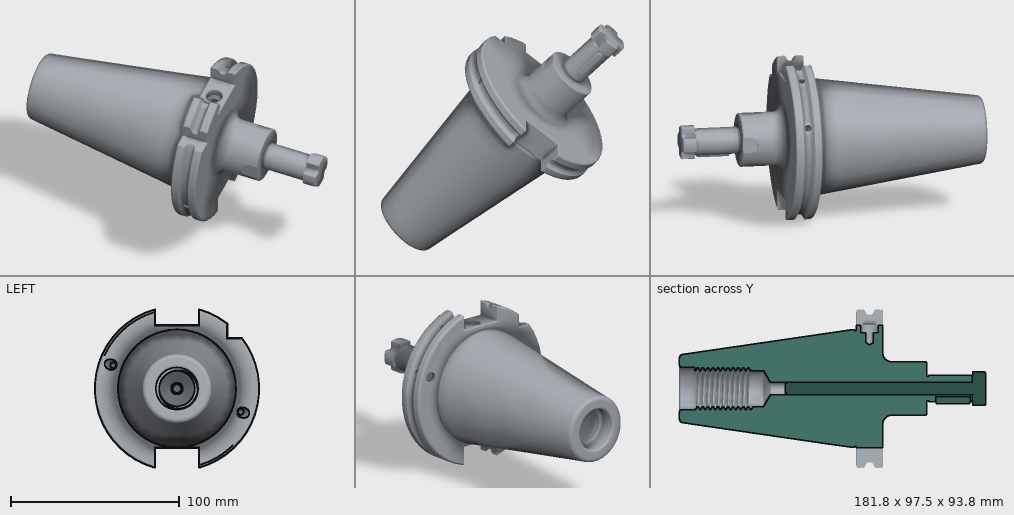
import cadquery as cq
import math


gauge_radius = 69.85 / 2
taper_slope = 7 / 24 / 2
taper_length = 101.75
taper_end_x = 1.0
taper_small_radius = gauge_radius - taper_slope * taper_length
taper_tip_fillet = 2.5
relief_start_x = 2.0
relief_floor_x = 2.6
relief_depth = 0.4

flange_radius = 97.5 / 2
flange_start_x = 3.2
flange_end_x = 19.1
flange_front_fillet = 1.5
flange_back_fillet = 1.0
groove_x = 11.1
groove_depth = 3.0
groove_radius = flange_radius - groove_depth
groove_half_width = 3.3
groove_flank_angle = math.radians(30)
groove_floor_half_width = groove_half_width - groove_depth * math.tan(groove_flank_angle)
groove_fillet = 1.25

slot_half_width = 25.7 / 2
top_slot_floor = 37.7
bottom_slot_floor = 35.3
edge_chamfer = 0.45
notch_offset = 30.0
notch_size = 20.0
notch_centre = notch_offset + notch_size / 2

chip_radius = 5.0
chip_depth = 4.5
chip_rim_chamfer = 0.3
chip_drill_radius = 2.0
chip_drill_depth = 6.0
drill_tip_half_angle = math.radians(59)

coolant_pitch_radius = 41.8
coolant_radius = 3.1
coolant_tilt = math.radians(30)
coolant_length = 9.0
coolant_angles = (20, 200)
cross_hole_radius = 1.9
cross_hole_depth = 7.0
cross_hole_angles = (20, 60, 200)

nose_radius = 16.0
nose_end_x = 45.0
nose_chamfer = 0.5
neck_fillet = 5.0
flat_width = 9.3
flat_depth = 0.7
flat_length = 9.3

seat_radius = 8.0
seat_end_x = 72.0
seat_undercut_radius = 7.5
seat_undercut_end_x = 45.9
seat_start_chamfer = 0.5
seat_end_chamfer = 1.0
seat_end_drop = 0.3

stud_bore_radius = 12.5
stud_bore_depth = 9.0
stud_bore_fillet = 1.5
thread_pitch = 3.0
thread_flank_angle = math.radians(30)
thread_root_width = thread_pitch / 8
thread_root_radius = 12.3
thread_crest_radius = 10.5
thread_start_depth = 6.5
thread_length = 36.0
cone_start_depth = 50.0
cone_half_angle = math.radians(60)

shank_radius = 3.5
shank_start_x = -38.0
tip_radius = 3.0
tip_length = 1.0
tip_chamfer = 0.5
head_radius = 10.0
head_end_x = 80.0
head_fillet = 1.0
lobe_half_width = 4.1
lobe_corner_fillet = 1.6

key_width = 4.0
key_start_x = 50.5
key_length = 20.0
key_outer_radius = 9.1
key_height = 4.0
key_chamfer = 0.4


def revolve_about_x(profile):
    """Turn a closed half profile, drawn in the XZ plane, about the X axis."""
    return profile.close().revolve(360, (0, 0, 0), (1, 0, 0))


def cylinder_x(radius, start_x, end_x):
    return cq.Workplane("YZ", origin=(start_x, 0, 0)).circle(radius).extrude(end_x - start_x)


def make_taper():
    taper = revolve_about_x(
        cq.Workplane("XZ")
        .moveTo(-taper_length, 0)
        .lineTo(-taper_length, taper_small_radius)
        .lineTo(taper_end_x, gauge_radius + taper_slope * taper_end_x)
        .lineTo(relief_start_x, gauge_radius)
        .lineTo(relief_floor_x, gauge_radius - relief_depth)
        .lineTo(flange_start_x, gauge_radius - relief_depth)
        .lineTo(flange_start_x, 0)
    )
    return taper.faces("<X").edges().fillet(taper_tip_fillet)


def make_flange():
    flange = cylinder_x(flange_radius, flange_start_x, flange_end_x)
    flange = flange.faces("<X").edges().fillet(flange_front_fillet)
    flange = flange.faces(">X").edges().fillet(flange_back_fillet)
    overshoot = 1.0
    rim_half_width = groove_half_width + overshoot * math.tan(groove_flank_angle)
    groove = revolve_about_x(
        cq.Workplane("XZ")
        .moveTo(groove_x - groove_floor_half_width, groove_radius)
        .lineTo(groove_x + groove_floor_half_width, groove_radius)
        .lineTo(groove_x + rim_half_width, flange_radius + overshoot)
        .lineTo(groove_x - rim_half_width, flange_radius + overshoot)
    )
    groove = groove.edges(cq.selectors.RadiusNthSelector(0)).fillet(groove_fillet)
    return flange.cut(groove)


def make_nose():
    arc_inset = neck_fillet * (1 - math.sqrt(0.5))
    nose = revolve_about_x(
        cq.Workplane("XZ")
        .moveTo(flange_end_x, 0)
        .lineTo(flange_end_x, nose_radius + neck_fillet)
        .threePointArc(
            (flange_end_x + arc_inset, nose_radius + arc_inset),
            (flange_end_x + neck_fillet, nose_radius),
        )
        .lineTo(nose_end_x, nose_radius)
        .lineTo(nose_end_x, 0)
    )
    return nose.faces(">X").edges().chamfer(nose_chamfer)


def make_seat():
    return revolve_about_x(
        cq.Workplane("XZ")
        .moveTo(nose_end_x, 0)
        .lineTo(nose_end_x, seat_undercut_radius)
        .lineTo(seat_undercut_end_x, seat_undercut_radius)
        .lineTo(seat_undercut_end_x + seat_start_chamfer, seat_radius)
        .lineTo(seat_end_x - seat_end_chamfer, seat_radius)
        .lineTo(seat_end_x, seat_radius - seat_end_drop)
        .lineTo(seat_end_x, 0)
    )


def make_stud_bore():
    """Cutter for the pull stud bore, the thread core and the cone down to the screw hole."""
    mouth_x = -taper_length
    shoulder_x = mouth_x + stud_bore_depth
    cone_start_x = mouth_x + cone_start_depth
    cone_length = (thread_crest_radius - shank_radius) / math.tan(cone_half_angle)
    arc_inset = stud_bore_fillet * (1 - math.sqrt(0.5))
    return revolve_about_x(
        cq.Workplane("XZ")
        .moveTo(mouth_x, 0)
        .lineTo(mouth_x, stud_bore_radius + stud_bore_fillet)
        .threePointArc(
            (mouth_x + arc_inset, stud_bore_radius + arc_inset),
            (mouth_x + stud_bore_fillet, stud_bore_radius),
        )
        .lineTo(shoulder_x, stud_bore_radius)
        .lineTo(shoulder_x, thread_crest_radius)
        .lineTo(cone_start_x, thread_crest_radius)
        .lineTo(cone_start_x + cone_length, shank_radius)
        .lineTo(seat_end_x, shank_radius)
        .lineTo(seat_end_x, 0)
    )


def make_chamfered_mouth(face_x, inward, centre_y, centre_z, width, height):
    """Cutter for the edge chamfer where a rectangular opening meets a flange face."""
    return (
        cq.Workplane("YZ", origin=(face_x, centre_y, centre_z))
        .rect(width + 2 * edge_chamfer, height + 2 * edge_chamfer)
        .workplane(offset=inward * edge_chamfer)
        .rect(width, height)
        .loft(combine=True)
    )


def make_thread_groove():
    """Cutter for the helical 60 degree groove of the pull stud thread."""
    overlap = 0.3
    inner_radius = thread_crest_radius - overlap
    root_half_width = thread_root_width / 2
    mouth_half_width = root_half_width + (thread_root_radius - inner_radius) * math.tan(thread_flank_angle)
    helix = cq.Workplane(cq.Wire.makeHelix(thread_pitch, thread_length, thread_crest_radius))
    groove = (
        cq.Workplane("XZ")
        .moveTo(inner_radius, -mouth_half_width)
        .lineTo(thread_root_radius, -root_half_width)
        .lineTo(thread_root_radius, root_half_width)
        .lineTo(inner_radius, mouth_half_width)
        .close()
        .sweep(helix, isFrenet=True)
    )
    start_x = -taper_length + thread_start_depth
    return groove.rotate((0, 0, 0), (0, 1, 0), 90).translate((start_x, 0, 0))


def flare_start(offset):
    """Distance out at which the rim chamfer begins on an edge this far from the centre plane."""
    return math.sqrt(flange_radius**2 - offset**2) - edge_chamfer


def make_drive_slot(floor):
    """Cutter for a drive slot open towards +Z, flared by the edge chamfers."""
    wall_top = flare_start(slot_half_width + edge_chamfer)
    flare = flange_radius - wall_top
    height = flange_radius - floor
    slot = (
        cq.Workplane("YZ", origin=(flange_start_x, 0, 0))
        .moveTo(-slot_half_width, floor)
        .lineTo(slot_half_width, floor)
        .lineTo(slot_half_width, wall_top)
        .lineTo(slot_half_width + flare, flange_radius)
        .lineTo(-slot_half_width - flare, flange_radius)
        .lineTo(-slot_half_width, wall_top)
        .close()
        .extrude(flange_end_x - flange_start_x)
    )
    for face_x, inward in ((flange_start_x, 1), (flange_end_x, -1)):
        mouth = make_chamfered_mouth(face_x, inward, 0, floor + height / 2, 2 * slot_half_width, height)
        slot = slot.union(mouth)
    return slot


def make_notch():
    """Cutter for the square orientation notch in the -Y, +Z quarter of the flange."""
    wall_end = flare_start(notch_offset - edge_chamfer)
    flare = flange_radius - wall_end
    notch = (
        cq.Workplane("YZ", origin=(flange_start_x, 0, 0))
        .moveTo(-notch_offset, notch_offset)
        .lineTo(-notch_offset, wall_end)
        .lineTo(-notch_offset + flare, flange_radius)
        .lineTo(-flange_radius, flange_radius)
        .lineTo(-flange_radius, notch_offset - flare)
        .lineTo(-wall_end, notch_offset)
        .close()
        .extrude(flange_end_x - flange_start_x)
    )
    for face_x, inward in ((flange_start_x, 1), (flange_end_x, -1)):
        mouth = make_chamfered_mouth(face_x, inward, -notch_centre, notch_centre, notch_size, notch_size)
        notch = notch.union(mouth)
    return notch


def make_chip_pocket():
    """Cutter for the chip pocket, its rim chamfer and the pointed drill hole in its floor."""
    floor_plane = cq.Workplane("XY", origin=(groove_x, 0, top_slot_floor))
    pocket = floor_plane.circle(chip_radius).extrude(-chip_depth)
    drill_tip_length = chip_drill_radius / math.tan(drill_tip_half_angle)
    drill_end = -chip_depth - chip_drill_depth
    drill = (
        cq.Workplane("XZ")
        .moveTo(0, 0)
        .lineTo(chip_drill_radius, 0)
        .lineTo(chip_drill_radius, drill_end)
        .lineTo(0, drill_end - drill_tip_length)
        .close()
        .revolve(360, (0, 0, 0), (0, 1, 0))
        .translate((groove_x, 0, top_slot_floor))
    )
    rim_cut = cq.Workplane(
        cq.Solid.makeCone(
            chip_radius,
            chip_radius + chip_rim_chamfer,
            chip_rim_chamfer,
            cq.Vector(groove_x, 0, top_slot_floor - chip_rim_chamfer),
        )
    )
    return pocket.union(drill).union(rim_cut)


def make_coolant_hole(angle):
    """Cutter for a hole that starts on the front flange face and leans towards the axis."""
    direction = cq.Vector(math.cos(coolant_tilt), -math.sin(coolant_tilt), 0)
    entry = cq.Vector(flange_start_x, coolant_pitch_radius, 0)
    lead = coolant_radius
    hole = cq.Solid.makeCylinder(coolant_radius, coolant_length + lead, entry - direction * lead, direction)
    return cq.Workplane(hole).rotate((0, 0, 0), (1, 0, 0), angle)


def make_cross_hole(angle):
    """Cutter for a radial hole in the groove floor."""
    start = cq.Vector(groove_x, flange_radius, 0)
    depth = groove_depth + cross_hole_depth
    hole = cq.Solid.makeCylinder(cross_hole_radius, depth, start, cq.Vector(0, -1, 0))
    return cq.Workplane(hole).rotate((0, 0, 0), (1, 0, 0), angle)


def make_nose_flat():
    """Cutter for a shallow round-ended flat on the +Y side of the nose, open at its end face."""
    radius = flat_width / 2
    arc_x = nose_end_x - flat_length + radius
    return (
        cq.Workplane("XZ", origin=(0, nose_radius, 0))
        .moveTo(nose_end_x, radius)
        .lineTo(arc_x, radius)
        .threePointArc((nose_end_x - flat_length, 0), (arc_x, -radius))
        .lineTo(nose_end_x, -radius)
        .close()
        .extrude(flat_depth)
    )


def make_key():
    """Round-ended feather key seated in the -Z side of the cutter seat."""
    key = (
        cq.Workplane("XY", origin=(key_start_x + key_length / 2, 0, -key_outer_radius))
        .slot2D(key_length, key_width)
        .extrude(key_height)
    )
    return key.faces("<Z").edges().chamfer(key_chamfer)


def make_screw():
    """Clamping screw whose head keeps four lobes between its corner cut-outs."""
    head = cylinder_x(head_radius, seat_end_x, head_end_x).faces(">X").edges().fillet(head_fillet)
    corner = (
        cq.Workplane("YZ", origin=(seat_end_x, lobe_half_width, lobe_half_width))
        .rect(head_radius, head_radius, centered=False)
        .extrude(head_end_x - seat_end_x)
        .edges("|X and <Y and <Z")
        .fillet(lobe_corner_fillet)
    )
    for quarter in range(4):
        head = head.cut(corner.rotate((0, 0, 0), (1, 0, 0), 90 * quarter))
    shank = cylinder_x(shank_radius, shank_start_x, seat_end_x)
    tip = cylinder_x(tip_radius, shank_start_x - tip_length, shank_start_x)
    tip = tip.faces("<X").edges().chamfer(tip_chamfer)
    return head.union(shank).union(tip)


def make_holder(key):
    holder = make_taper().union(make_flange()).union(make_nose()).union(make_seat())
    holder = holder.cut(make_stud_bore()).cut(make_thread_groove())
    holder = holder.cut(make_drive_slot(top_slot_floor))
    holder = holder.cut(make_drive_slot(bottom_slot_floor).rotate((0, 0, 0), (1, 0, 0), 180))
    holder = holder.cut(make_notch()).cut(make_chip_pocket())
    for angle in coolant_angles:
        holder = holder.cut(make_coolant_hole(angle))
    for angle in cross_hole_angles:
        holder = holder.cut(make_cross_hole(angle))
    for turn in (0, 180):
        holder = holder.cut(make_nose_flat().rotate((0, 0, 0), (1, 0, 0), turn))
    return holder.cut(key)


key = make_key()
screw = make_screw()
holder = make_holder(key)

result = cq.Compound.makeCompound([holder.val(), key.val(), screw.val()])